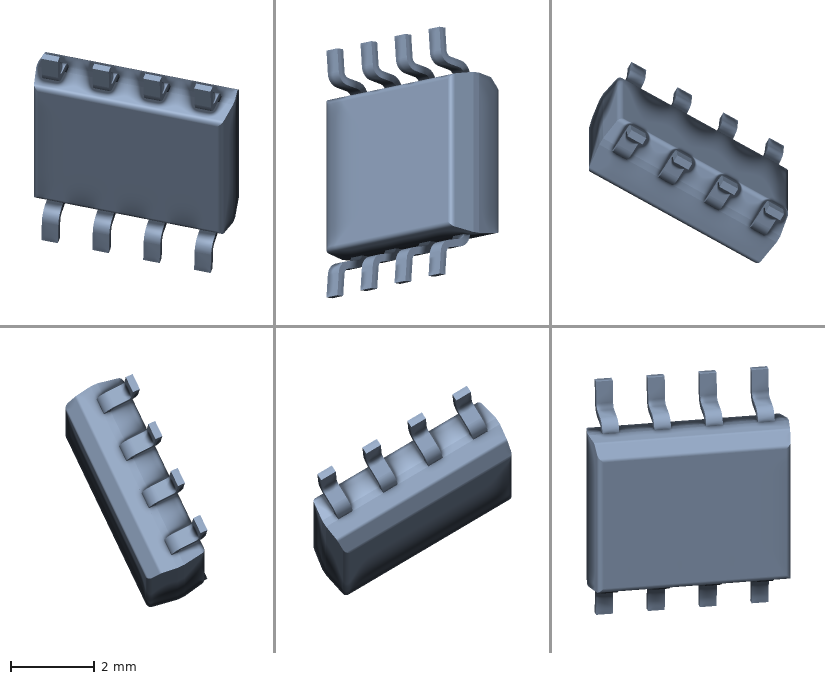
import cadquery as cq
import math

body_width = 4.9
body_height = 3.9
overall_height = 6.01
overall_depth = 1.7

lead_thickness = 0.18
back_depth = 0.745
front_depth = 0.62
back_draft = 7.5
front_draft = 9.5
edge_radius = 0.13

bevel_leg = 0.385
bevel_edge_radius = 0.11

leads_per_side = 4
lead_pitch = 1.27
lead_width = 0.41
shoulder_radius = 0.175
ankle_radius = 0.15
shoulder_turn = math.radians(80)
foot_tilt = math.radians(4.5)
lead_embed = 0.035

back_y = back_depth
band_front_y = -lead_thickness
body_top = body_height / 2
lead_tip_z = overall_height / 2
lead_tip_y = back_y - overall_depth


def body_half(start_y, depth, draft):
    """Tapered half body starting at start_y; a positive depth grows toward -Y."""
    return (
        cq.Workplane("XZ", origin=(0, start_y, 0))
        .rect(body_width, body_height)
        .extrude(depth, taper=draft)
    )


def make_bevel_envelope():
    """Straight prism along X whose top carries the rounded bevel of the back half."""
    draft_slope = math.tan(math.radians(back_draft))
    bevel_start = (bevel_leg - back_depth * draft_slope) / (1 - draft_slope)
    envelope = (
        cq.Workplane("YZ")
        .moveTo(0, -body_top)
        .lineTo(0, body_top)
        .lineTo(back_y - bevel_start, body_top - bevel_leg + bevel_start)
        .lineTo(back_y, body_top - bevel_leg)
        .lineTo(back_y, -body_top)
        .close()
        .extrude(body_width / 2, both=True)
    )
    bevel_face = envelope.faces(cq.selectors.DirectionMinMaxSelector(cq.Vector(0, 1, 1)))
    return bevel_face.edges("|X").fillet(bevel_edge_radius)


def make_body():
    band = body_half(0, lead_thickness, 0)
    front = body_half(band_front_y, front_depth, front_draft)
    front = front.faces("<Y").edges().fillet(edge_radius)

    back = body_half(0, -back_depth, back_draft)
    back = back.faces(">Y").edges("not >Z").fillet(edge_radius)
    return band.union(front).union(back.intersect(make_bevel_envelope()))


def make_upper_lead():
    """One lead leaving the top of the body at X = 0, bent toward -Y and ending in the foot."""
    shoulder_outer = shoulder_radius + lead_thickness
    ankle_outer = ankle_radius + lead_thickness
    shoulder_z = body_top - lead_embed
    shoulder_y = band_front_y - shoulder_radius

    center_gap = shoulder_outer + ankle_radius
    rise_to_tip = lead_tip_z - shoulder_z - center_gap * math.sin(shoulder_turn)
    reach_to_tip = shoulder_y - lead_tip_y + center_gap * math.cos(shoulder_turn)
    web_reach = reach_to_tip - ankle_outer / math.cos(foot_tilt) - rise_to_tip * math.tan(foot_tilt)
    web_length = web_reach / (
        math.sin(shoulder_turn) - math.cos(shoulder_turn) * math.tan(foot_tilt)
    )

    ankle_y = (
        shoulder_y
        + center_gap * math.cos(shoulder_turn)
        - web_length * math.sin(shoulder_turn)
    )
    ankle_z = (
        shoulder_z
        + center_gap * math.sin(shoulder_turn)
        + web_length * math.cos(shoulder_turn)
    )

    def on_shoulder(radius, angle):
        return (shoulder_y + radius * math.cos(angle), shoulder_z + radius * math.sin(angle))

    def on_ankle(radius, angle):
        return (ankle_y - radius * math.cos(angle), ankle_z - radius * math.sin(angle))

    def foot_end(radius):
        foot_rise = lead_tip_z - ankle_z
        return (ankle_y - radius / math.cos(foot_tilt) - foot_rise * math.tan(foot_tilt), lead_tip_z)

    half_shoulder = shoulder_turn / 2
    half_ankle = (shoulder_turn + foot_tilt) / 2
    return (
        cq.Workplane("YZ")
        .moveTo(*on_shoulder(shoulder_outer, 0))
        .threePointArc(
            on_shoulder(shoulder_outer, half_shoulder), on_shoulder(shoulder_outer, shoulder_turn)
        )
        .lineTo(*on_ankle(ankle_radius, shoulder_turn))
        .threePointArc(on_ankle(ankle_radius, half_ankle), on_ankle(ankle_radius, foot_tilt))
        .lineTo(*foot_end(ankle_radius))
        .lineTo(*foot_end(ankle_outer))
        .lineTo(*on_ankle(ankle_outer, foot_tilt))
        .threePointArc(on_ankle(ankle_outer, half_ankle), on_ankle(ankle_outer, shoulder_turn))
        .lineTo(*on_shoulder(shoulder_radius, shoulder_turn))
        .threePointArc(
            on_shoulder(shoulder_radius, half_shoulder), on_shoulder(shoulder_radius, 0)
        )
        .close()
        .extrude(lead_width / 2, both=True)
    )


result = make_body()
upper_lead = make_upper_lead()
lower_lead = upper_lead.mirror("XY")
for index in range(leads_per_side):
    lead_x = (index - (leads_per_side - 1) / 2) * lead_pitch
    for lead in (upper_lead, lower_lead):
        result = result.union(lead.translate((lead_x, 0, 0)))